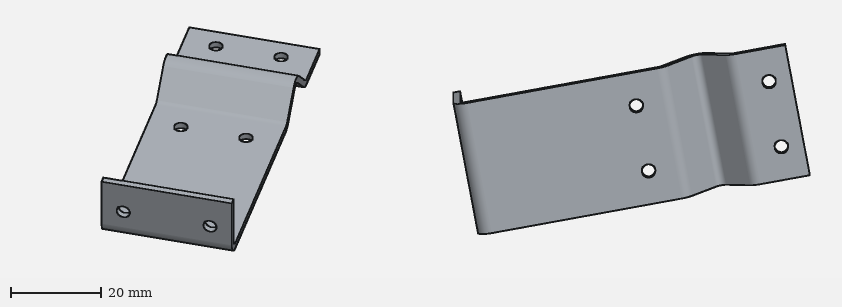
import cadquery as cq
import math

width = 30.0
length = 75.0
height = 15.0

thickness = 1.6
inner_radius = 1.6
outer_radius = inner_radius + thickness
middle_radius = inner_radius + thickness / 2

ridge_from_end = 20.0
ridge_half_span = 8.85
ridge_angle = 45.0

hole_diameter = 3.0
base_hole_spacing = 15.0
base_hole_from_ridge = 15.0
tab_hole_spacing = 19.95
tab_hole_height = 7.5

ridge_y = length / 2 - ridge_from_end
bend_run = 2 * middle_radius * math.sin(math.radians(ridge_angle))
slope_length = (ridge_half_span - bend_run) / math.cos(math.radians(ridge_angle))

tab_length = height - outer_radius
base_length = ridge_y - ridge_half_span - (-length / 2 + outer_radius)
end_length = ridge_from_end - ridge_half_span

flats = [tab_length, base_length, slope_length, slope_length, end_length]
turns = [90.0, ridge_angle, -2 * ridge_angle, ridge_angle]


def middle_stations():
    """Ends of every flat along the sheet's middle surface, as (y, z, heading)."""
    y = -length / 2 + thickness / 2
    z = height
    heading = -90.0
    stations = [(y, z, heading)]
    for index, flat in enumerate(flats):
        y += flat * math.cos(math.radians(heading))
        z += flat * math.sin(math.radians(heading))
        stations.append((y, z, heading))
        if index < len(turns):
            turn = turns[index]
            chord = 2 * middle_radius * math.sin(math.radians(abs(turn) / 2))
            chord_heading = math.radians(heading + turn / 2)
            y += chord * math.cos(chord_heading)
            z += chord * math.sin(chord_heading)
            heading += turn
            stations.append((y, z, heading))
    return stations


def offset_point(station, distance):
    """Point at a distance to the left of the travel direction."""
    y, z, heading = station
    angle = math.radians(heading)
    return (y - distance * math.sin(angle), z + distance * math.cos(angle))


def trace_side(outline, points):
    """Draw flats and tangent bends in turn, starting with a flat."""
    for index, point in enumerate(points):
        if index % 2 == 0:
            outline = outline.lineTo(*point)
        else:
            outline = outline.tangentArcPoint(point, relative=False)
    return outline


def bent_sheet():
    stations = middle_stations()
    upper = [offset_point(station, thickness / 2) for station in stations]
    lower = [offset_point(station, -thickness / 2) for station in reversed(stations)]
    outline = cq.Workplane("YZ").moveTo(*upper[0])
    outline = trace_side(outline, upper[1:])
    outline = outline.lineTo(*lower[0])
    outline = trace_side(outline, lower[1:])
    return outline.close().extrude(width / 2, both=True)


def base_holes():
    """Vertical holes in the flat sheet on both sides of the ridge."""
    return (
        cq.Workplane("XY")
        .center(0, ridge_y)
        .rect(base_hole_spacing, 2 * base_hole_from_ridge, forConstruction=True)
        .vertices()
        .circle(hole_diameter / 2)
        .extrude(thickness)
    )


def tab_holes():
    """Horizontal holes through the upright tab."""
    return (
        cq.Workplane("XZ", origin=(0, -length / 2, tab_hole_height))
        .pushPoints([(-tab_hole_spacing / 2, 0), (tab_hole_spacing / 2, 0)])
        .circle(hole_diameter / 2)
        .extrude(-thickness)
    )


result = bent_sheet().cut(base_holes()).cut(tab_holes())